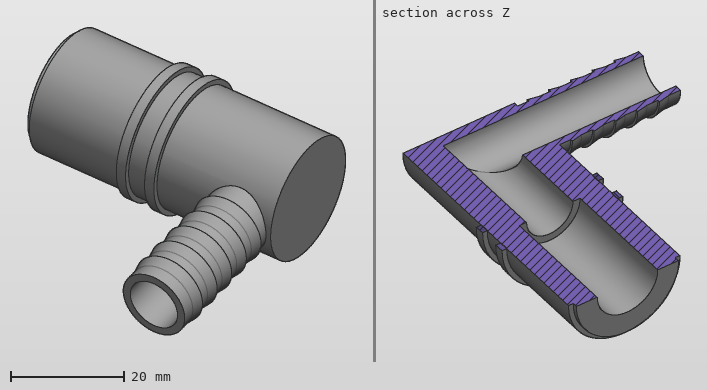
import cadquery as cq

barrel_length = 52.0
barrel_diameter = 24.0
nose_diameter = 22.0
nose_length = 1.0

ring_diameter = 26.0
ring_width = 2.0
ring_starts = (20.0, 26.0)

spigot_x = 44.5
spigot_diameter = 13.0
spigot_reach = 38.0
barb_count = 5
barb_diameter = 14.0
barb_start = 14.35
barb_pitch = 4.7
barb_length = barb_pitch / 2

passage_diameter = 10.0
socket_diameter = spigot_diameter
socket_depth = 23.9


def cylinder_x(diameter, start, length):
    """Cylinder centred on the X axis, running from x = start toward +X."""
    return cq.Workplane("YZ", origin=(start, 0, 0)).circle(diameter / 2).extrude(length)


def make_barrel():
    """Barrel with a short stepped nose at its open face."""
    nose = cylinder_x(nose_diameter, 0, nose_length)
    main = cylinder_x(barrel_diameter, nose_length, barrel_length - nose_length)
    return nose.union(main)


def make_spigot():
    """Spigot revolved about its own axis; each barb is widest on the barrel side."""
    spigot_radius = spigot_diameter / 2
    barb_radius = barb_diameter / 2
    profile = cq.Workplane("XY", origin=(spigot_x, 0, 0)).lineTo(spigot_radius, 0)
    for index in range(barb_count):
        start = barb_start + index * barb_pitch
        profile = profile.lineTo(spigot_radius, -start)
        profile = profile.lineTo(barb_radius, -start)
        profile = profile.lineTo(spigot_radius, -(start + barb_length))
    profile = profile.lineTo(spigot_radius, -spigot_reach).lineTo(0, -spigot_reach).close()
    return profile.revolve(360, (0, 0, 0), (0, 1, 0))


def make_passage():
    """Round passage with a mitred right-angle corner, widened into a socket at the barrel face."""
    centreline = cq.Workplane("XY").polyline([(0, 0), (spigot_x, 0), (spigot_x, -spigot_reach)])
    elbow = cq.Workplane("YZ").circle(passage_diameter / 2).sweep(centreline, transition="right")
    return elbow.union(cylinder_x(socket_diameter, 0, socket_depth))


def make_housing():
    """Barrel and hose spigot in one piece, with the passage cut through both."""
    return make_barrel().union(make_spigot()).cut(make_passage()).solids()


def make_ring(start):
    """Flat-sided sealing ring that fits around the barrel."""
    ring = cylinder_x(ring_diameter, start, ring_width)
    return ring.cut(cylinder_x(barrel_diameter, start, ring_width)).solids()


housing = make_housing()
rings = [make_ring(start) for start in ring_starts]

result = cq.Compound.makeCompound([housing.val(), *[ring.val() for ring in rings]])